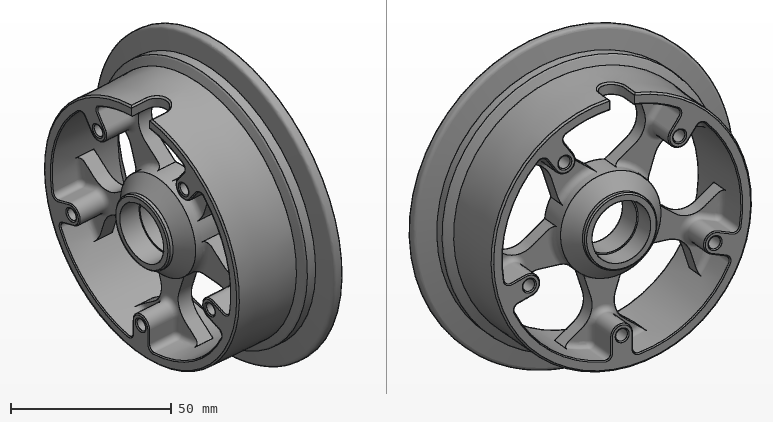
import cadquery as cq
import math

TOTAL_WIDTH = 34.0

BARREL_FRONT_RADIUS = 46.65
BARREL_BACK_RADIUS = 46.9
BARREL_BORE_RADIUS = 42.8
BARREL_EDGE_CHAMFER = 0.6
FLARE_START = 27.4
FLARE_END_RADIUS = 50.5

SEAT_RADIUS = 50.0
SEAT_CONE_START = 23.8
SEAT_CONE_END = 25.2
SEAT_EDGE_CHAMFER = 0.45
FLANGE_RADIUS = 57.5
FLANGE_FOOT_DEPTH = 29.0
FLANGE_EDGE_DEPTH = 30.3
FLANGE_FRONT_FILLET = 1.2
FLANGE_BACK_FILLET = 1.0

SPOKE_COUNT = 5
SPOKE_STEP = 360.0 / SPOKE_COUNT
FIRST_SPOKE_ANGLE = -90.0
FIRST_WINDOW_ANGLE = FIRST_SPOKE_ANGLE + SPOKE_STEP / 2
WEB_FRONT = 12.0
WEB_BACK = 17.5
WEB_OVERLAP = 1.0
FLOOR_FILLET = 2.0
FRONT_EDGE_CHAMFER = 0.4

WINDOW_SIDES = 5
WINDOW_CENTRE_RADIUS = 32.5
WINDOW_APOTHEM = 14.2
WINDOW_CORNER_RADIUS = 9.0
WINDOW_HUB_CORNER_RADIUS = 7.7

BOSS_CIRCLE_RADIUS = 35.0
BOSS_RADIUS = 3.9
SCREW_HOLE_RADIUS = 2.1
SCREW_HOLE_CHAMFER = 0.4

HUB_RADIUS = 18.0
HUB_FRONT = 0.5
HUB_NECK_RADIUS = 13.0
HUB_NECK_CHAMFER = 0.5
HUB_NECK_END = 2.2
HUB_CONE_END = HUB_NECK_END + (HUB_RADIUS - HUB_NECK_RADIUS)
HUB_BORE_RADIUS = 10.0
BEARING_RADIUS = 10.5
BEARING_DEPTH = 8.4

SLOT_HALF_WIDTH = 4.4
SLOT_ARC_DEPTH = 6.2

EDGE_TOLERANCE = 0.01


def plane_at(depth):
    """Sketch plane parallel to the front face; negative extrusion runs backwards."""
    return cq.Workplane("XZ", origin=(0, depth, 0))


def disc(radius, front, back):
    return plane_at(front).circle(radius).extrude(front - back)


def revolved(points):
    """Solid of revolution about Y from (depth, radius) points."""
    return cq.Workplane("YZ").polyline(points).close().revolve(360, (0, 0, 0), (1, 0, 0))


def repeat_around_axis(shape, first_angle):
    """Copies of a shape built in the +X direction, one per spoke."""
    copies = cq.Workplane("XY")
    for index in range(SPOKE_COUNT):
        angle = first_angle + index * SPOKE_STEP
        copies = copies.add(shape.rotate((0, 0, 0), (0, 1, 0), -angle))
    return copies.combine()


def make_barrel():
    """Barrel with the tyre seat, the rounded flange and the flared bore."""
    barrel = revolved([
        (0, 0),
        (0, BARREL_FRONT_RADIUS),
        (SEAT_CONE_START, BARREL_BACK_RADIUS),
        (SEAT_CONE_END, SEAT_RADIUS - SEAT_EDGE_CHAMFER),
        (SEAT_CONE_END + SEAT_EDGE_CHAMFER, SEAT_RADIUS),
        (FLANGE_FOOT_DEPTH, SEAT_RADIUS),
        (FLANGE_EDGE_DEPTH, FLANGE_RADIUS),
        (TOTAL_WIDTH, FLANGE_RADIUS),
        (TOTAL_WIDTH, 0),
    ])
    barrel = barrel.faces(">Y").edges().fillet(FLANGE_BACK_FILLET)
    largest_circle = cq.selectors.RadiusNthSelector(-1)
    flange_front_edge = barrel.edges("%CIRCLE").edges(largest_circle).edges("<Y")
    barrel = flange_front_edge.fillet(FLANGE_FRONT_FILLET)
    bore = revolved([
        (0, 0),
        (0, BARREL_BORE_RADIUS),
        (FLARE_START, BARREL_BORE_RADIUS),
        (TOTAL_WIDTH, FLARE_END_RADIUS),
        (TOTAL_WIDTH, 0),
    ])
    return barrel.cut(bore)


def make_rib():
    """Screw boss with its rib, running out into the barrel wall."""
    rib_end = BARREL_BORE_RADIUS + 2 * WEB_OVERLAP
    rib_length = rib_end - BOSS_CIRCLE_RADIUS
    boss = plane_at(0).center(BOSS_CIRCLE_RADIUS, 0).circle(BOSS_RADIUS).extrude(-WEB_FRONT)
    rib = plane_at(0).center(BOSS_CIRCLE_RADIUS + rib_length / 2, 0)
    rib = rib.rect(rib_length, 2 * BOSS_RADIUS).extrude(-WEB_FRONT)
    return boss.union(rib)


def make_front_cavity():
    """Space in front of the web, around the hub and the ribs, with a filleted floor."""
    cavity = disc(BARREL_BORE_RADIUS, 0, WEB_FRONT)
    cavity = cavity.cut(disc(HUB_RADIUS, 0, WEB_FRONT))
    cavity = cavity.cut(repeat_around_axis(make_rib(), FIRST_SPOKE_ANGLE))
    wall_corners = cavity.edges("|Y").filter(
        lambda edge: math.hypot(edge.Center().x, edge.Center().z) > BOSS_CIRCLE_RADIUS + BOSS_RADIUS
    )
    floor_edges = cavity.faces(">Y").edges()
    return wall_corners.add(floor_edges).fillet(FLOOR_FILLET)


def is_outer_window_corner(edge):
    """True for the window corners beyond the rounding of the hub corner."""
    return edge.Center().x > WINDOW_CENTRE_RADIUS - WINDOW_APOTHEM / 2


def make_windows():
    """The five openings between the spokes, bounded inwards by the hub."""
    vertex_radius = WINDOW_APOTHEM / math.cos(math.pi / WINDOW_SIDES)
    corners = []
    for index in range(WINDOW_SIDES):
        angle = math.pi + index * 2 * math.pi / WINDOW_SIDES
        corner_x = WINDOW_CENTRE_RADIUS + vertex_radius * math.cos(angle)
        corners.append((corner_x, vertex_radius * math.sin(angle)))
    window = plane_at(0).polyline(corners).close().extrude(-WEB_BACK)
    window = window.edges("|Y").edges("<X").fillet(WINDOW_HUB_CORNER_RADIUS)
    window = window.edges("|Y").filter(is_outer_window_corner).fillet(WINDOW_CORNER_RADIUS)
    window = window.cut(disc(HUB_RADIUS, 0, WEB_BACK))
    ribs = repeat_around_axis(make_rib(), FIRST_SPOKE_ANGLE)
    return repeat_around_axis(window, FIRST_WINDOW_ANGLE).cut(ribs)


def make_hub_front_cut():
    """Material removed from the hub front to leave the cone and the chamfered neck."""
    return revolved([
        (0, 0),
        (0, HUB_RADIUS),
        (HUB_CONE_END, HUB_RADIUS),
        (HUB_NECK_END, HUB_NECK_RADIUS),
        (HUB_FRONT + HUB_NECK_CHAMFER, HUB_NECK_RADIUS),
        (HUB_FRONT, HUB_NECK_RADIUS - HUB_NECK_CHAMFER),
        (HUB_FRONT, 0),
    ])


def make_web():
    """Spokes, hub and screw bosses as one body."""
    web = disc(BARREL_BORE_RADIUS + WEB_OVERLAP, 0, WEB_BACK)
    web = web.cut(make_front_cavity()).cut(make_windows())
    return web.cut(make_hub_front_cut())


def make_slot():
    """Slot with a round inner end, reaching through the top wall only."""
    slot_bottom = BOSS_CIRCLE_RADIUS
    height = SEAT_RADIUS - slot_bottom
    base = cq.Workplane("XY", origin=(0, 0, slot_bottom))
    straight = base.center(0, SLOT_ARC_DEPTH / 2).rect(2 * SLOT_HALF_WIDTH, SLOT_ARC_DEPTH).extrude(height)
    round_end = base.center(0, SLOT_ARC_DEPTH).circle(SLOT_HALF_WIDTH).extrude(height)
    return straight.union(round_end)


def is_on_barrel_rim(edge):
    """True for the outer edges of the front face and of the slot."""
    slot_end = SLOT_ARC_DEPTH + SLOT_HALF_WIDTH
    for end in (0, 1):
        point = edge.positionAt(end)
        radius = math.hypot(point.x, point.z)
        if point.y > slot_end + EDGE_TOLERANCE:
            return False
        if not BARREL_FRONT_RADIUS - EDGE_TOLERANCE < radius < BARREL_BACK_RADIUS:
            return False
    return True


def is_inside_barrel_rim(edge):
    return edge.BoundingBox().xmax < BARREL_FRONT_RADIUS - BARREL_EDGE_CHAMFER


def make_screw_hole():
    """Through hole with a small countersink at the front."""
    return revolved([
        (0, 0),
        (0, SCREW_HOLE_RADIUS + SCREW_HOLE_CHAMFER),
        (SCREW_HOLE_CHAMFER, SCREW_HOLE_RADIUS),
        (WEB_BACK, SCREW_HOLE_RADIUS),
        (WEB_BACK, 0),
    ]).translate((BOSS_CIRCLE_RADIUS, 0, 0))


wheel = make_barrel().union(make_web())
wheel = wheel.faces("<Y").edges().filter(is_inside_barrel_rim).chamfer(FRONT_EDGE_CHAMFER)
wheel = wheel.cut(make_slot())
wheel = wheel.edges().filter(is_on_barrel_rim).chamfer(BARREL_EDGE_CHAMFER)
wheel = wheel.cut(repeat_around_axis(make_screw_hole(), FIRST_SPOKE_ANGLE))
wheel = wheel.cut(disc(HUB_BORE_RADIUS, 0, WEB_BACK))
wheel = wheel.cut(disc(BEARING_RADIUS, 0, BEARING_DEPTH))

result = wheel